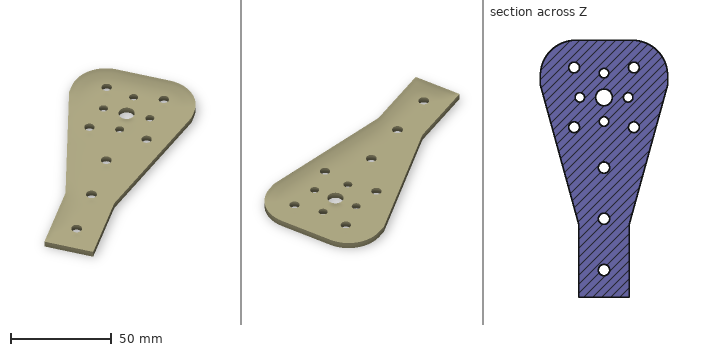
import cadquery as cq

length = 127.8
head_width = 63.5
thickness = 3.3
corner_radius = 17.8

neck_width = 25.3
neck_length = 36.2
neck_blend_radius = 7.7
head_side_start = 105.5

hub_y = 99.3
hub_diameter = 8.0
cross_offset = 12.0
cross_diameter = 4.5
square_offset = 14.8
square_diameter = 5.1
neck_hole_first_y = 13.5
neck_hole_pitch = 25.4
neck_hole_count = 3
neck_hole_diameter = 5.4


def plate():
    """Flat paddle: narrow neck flaring to a wide head with round corners."""
    half_neck = neck_width / 2
    half_head = head_width / 2
    margin = neck_width / 10
    right_side = [
        (half_neck, 0),
        (half_neck, neck_length),
        (half_head, head_side_start),
        (half_head, length),
    ]
    left_side = [(-x, y) for x, y in reversed(right_side)]
    body = cq.Workplane("XY").polyline(right_side + left_side).close().extrude(thickness)
    body = body.edges("|Z").edges(">Y").fillet(corner_radius)
    neck_corners = cq.selectors.BoxSelector(
        (-half_head, neck_length - margin, 0),
        (half_head, neck_length + margin, thickness),
    )
    return body.edges("|Z").edges(neck_corners).fillet(neck_blend_radius)


def drill(body, points, diameter):
    """Cut through holes of one diameter at the given XY points."""
    cutter = cq.Workplane("XY").pushPoints(points).circle(diameter / 2).extrude(thickness)
    return body.cut(cutter)


cross_points = [
    (cross_offset, hub_y),
    (-cross_offset, hub_y),
    (0, hub_y + cross_offset),
    (0, hub_y - cross_offset),
]
square_points = [
    (x_sign * square_offset, hub_y + y_sign * square_offset)
    for x_sign in (-1, 1)
    for y_sign in (-1, 1)
]
neck_points = [(0, neck_hole_first_y + i * neck_hole_pitch) for i in range(neck_hole_count)]

result = plate()
result = drill(result, [(0, hub_y)], hub_diameter)
result = drill(result, cross_points, cross_diameter)
result = drill(result, square_points, square_diameter)
result = drill(result, neck_points, neck_hole_diameter)